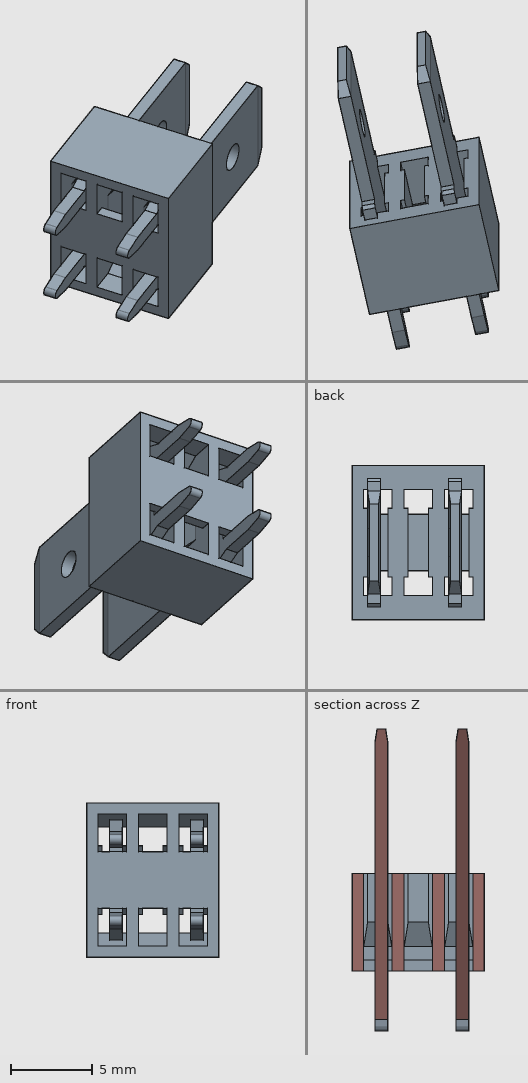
import cadquery as cq
import math


HOUSING_WIDTH = 8.13
HOUSING_DEPTH = 6.0
HOUSING_HEIGHT = 9.5

COLUMN_COUNT = 3
COLUMN_PITCH = 2.5
COLUMN_WIDTH = 1.73
COLUMN_HALF_HEIGHT = 4.05
CROSSBAR_HALF_HEIGHT = 1.75
CROSSBAR_DEPTH = 0.67
FUNNEL_START = 1.5
FUNNEL_LENGTH = 1.5
FUNNEL_END = FUNNEL_START + FUNNEL_LENGTH
FUNNEL_DROP = 0.8
PAD_HALF_HEIGHT = 2.12
PAD_THICKNESS = 0.25

CONTACT_LENGTH = 18.6
CONTACT_THICKNESS = 0.8
BLADE_REACH = 8.9
BLADE_WIDTH = 6.35
BLADE_CHAMFER = 0.8
BLADE_BEVEL = 0.13
BLADE_HOLE_DIAMETER = 1.71
BLADE_HOLE_FROM_TIP = 4.25
SHOULDER_FROM_TIP = 8.0
SHOULDER_WIDTH = 7.9
SHOULDER_CHAMFER = 0.2
LEG_PITCH = 5.0
LEG_WIDTH = 1.0
LEG_TAPER_LENGTH = 1.4
LEG_TAPER_ANGLE = math.radians(10)
FLARE_START = 0.26
FLARE_ANGLE = math.radians(20)

BLADE_TIP_Y = HOUSING_DEPTH + BLADE_REACH
LEG_TIP_Y = BLADE_TIP_Y - CONTACT_LENGTH
COLUMN_CENTERS = [(i - (COLUMN_COUNT - 1) / 2) * COLUMN_PITCH for i in range(COLUMN_COUNT)]
CONTACT_OFFSET = COLUMN_WIDTH / 2 - PAD_THICKNESS - CONTACT_THICKNESS / 2
CONTACT_CENTERS = [x + CONTACT_OFFSET for x in (COLUMN_CENTERS[0], COLUMN_CENTERS[-1])]


def centered_box(width, depth, height):
    """Box centred in X and Z, reaching from Y = 0 to Y = depth."""
    return cq.Workplane("XY").box(width, depth, height, centered=(True, False, True))


def column_cavity():
    """Opening through the housing, centred on X = 0."""
    throat_half_height = COLUMN_HALF_HEIGHT - FUNNEL_DROP
    upper_outline = [
        (0, 0),
        (0, COLUMN_HALF_HEIGHT),
        (FUNNEL_START, COLUMN_HALF_HEIGHT),
        (FUNNEL_END, throat_half_height),
        (HOUSING_DEPTH, throat_half_height),
        (HOUSING_DEPTH, 0),
    ]
    half = cq.Workplane("YZ").polyline(upper_outline).close().extrude(COLUMN_WIDTH / 2, both=True)
    crossbar = centered_box(COLUMN_WIDTH, CROSSBAR_DEPTH, 2 * CROSSBAR_HALF_HEIGHT)
    cavity = half.union(half.mirror("XY")).cut(crossbar)

    wall_x = COLUMN_WIDTH / 2
    pad_x = wall_x - PAD_THICKNESS
    pad_outline = [
        (wall_x, FUNNEL_START),
        (pad_x, FUNNEL_END),
        (pad_x, HOUSING_DEPTH),
        (wall_x, HOUSING_DEPTH),
    ]
    pad = cq.Workplane("XY").polyline(pad_outline).close().extrude(PAD_HALF_HEIGHT, both=True)
    return cavity.cut(pad).cut(pad.mirror("YZ"))


def contact_leg():
    """Solder leg with a tapered, rounded tip, centred on Z = 0."""
    half_width = LEG_WIDTH / 2
    tip_half_width = half_width - LEG_TAPER_LENGTH * math.tan(LEG_TAPER_ANGLE)
    tip_radius = tip_half_width / math.tan(math.pi / 4 - LEG_TAPER_ANGLE / 2)
    arc_y = LEG_TIP_Y + tip_radius * (1 - math.sin(LEG_TAPER_ANGLE))
    arc_z = tip_radius * math.cos(LEG_TAPER_ANGLE)
    taper_y = LEG_TIP_Y + LEG_TAPER_LENGTH
    return (
        cq.Workplane("YZ")
        .moveTo(CROSSBAR_DEPTH, half_width)
        .lineTo(taper_y, half_width)
        .lineTo(arc_y, arc_z)
        .threePointArc((LEG_TIP_Y, 0), (arc_y, -arc_z))
        .lineTo(taper_y, -half_width)
        .lineTo(CROSSBAR_DEPTH, -half_width)
        .close()
        .extrude(CONTACT_THICKNESS / 2, both=True)
    )


def contact_plate():
    """Flat plate from the flared leg roots to the bevelled blade tip."""
    leg_outer = (LEG_PITCH + LEG_WIDTH) / 2
    leg_inner = (LEG_PITCH - LEG_WIDTH) / 2
    shoulder = SHOULDER_WIDTH / 2
    shoulder_y = BLADE_TIP_Y - SHOULDER_FROM_TIP
    blade = BLADE_WIDTH / 2
    flare_end = FLARE_START + (shoulder - leg_outer) / math.tan(FLARE_ANGLE)
    upper_outline = [
        (CROSSBAR_DEPTH, 0),
        (CROSSBAR_DEPTH, leg_inner),
        (FLARE_START, leg_inner),
        (FLARE_START, leg_outer),
        (flare_end, shoulder),
        (shoulder_y - SHOULDER_CHAMFER, shoulder),
        (shoulder_y, shoulder - SHOULDER_CHAMFER),
        (shoulder_y, blade),
        (BLADE_TIP_Y - BLADE_CHAMFER, blade),
        (BLADE_TIP_Y, blade - BLADE_CHAMFER),
    ]
    lower_outline = [(y, -z) for y, z in reversed(upper_outline[1:])]
    plate = (
        cq.Workplane("YZ")
        .polyline(upper_outline + lower_outline)
        .close()
        .extrude(CONTACT_THICKNESS / 2, both=True)
    )
    hole = (
        cq.Workplane("YZ")
        .center(BLADE_TIP_Y - BLADE_HOLE_FROM_TIP, 0)
        .circle(BLADE_HOLE_DIAMETER / 2)
        .extrude(CONTACT_THICKNESS, both=True)
    )
    face_x = CONTACT_THICKNESS / 2
    bevel_outline = [
        (face_x, BLADE_TIP_Y - BLADE_CHAMFER),
        (face_x, BLADE_TIP_Y),
        (face_x - BLADE_BEVEL, BLADE_TIP_Y),
    ]
    bevel = cq.Workplane("XY").polyline(bevel_outline).close().extrude(BLADE_WIDTH, both=True)
    return plate.cut(hole).cut(bevel).cut(bevel.mirror("YZ"))


def make_contact(center_x):
    """One blade contact with two solder legs, standing at the given X."""
    contact = contact_plate()
    for side in (-1, 1):
        contact = contact.union(contact_leg().translate((0, 0, side * LEG_PITCH / 2)))
    return contact.translate((center_x, 0, 0))


def make_housing(contacts):
    """Block with a column opening per position and slots fitting the contacts."""
    housing = centered_box(HOUSING_WIDTH, HOUSING_DEPTH, HOUSING_HEIGHT)
    for x in COLUMN_CENTERS:
        housing = housing.cut(column_cavity().translate((x, 0, 0)))
    for contact in contacts:
        housing = housing.cut(contact)
    return housing


contacts = [make_contact(x) for x in CONTACT_CENTERS]
housing = make_housing(contacts)

result = cq.Compound.makeCompound([housing.solids().val(), *[contact.solids().val() for contact in contacts]])